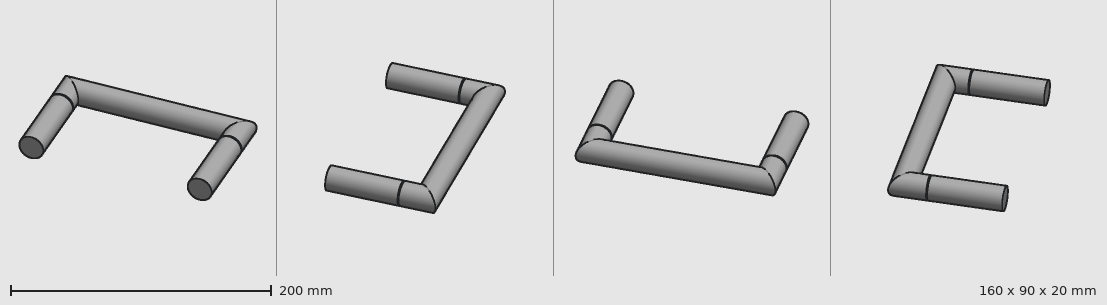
import cadquery as cq

bar_diameter = 20.0
overall_width = 160.0
overall_depth = 90.0
elbow_depth = 30.0
joint_gap = 1.0

bar_radius = bar_diameter / 2
arm_spacing = overall_width - bar_diameter
arm_x_positions = (-arm_spacing / 2, arm_spacing / 2)
leg_length = overall_depth - elbow_depth - joint_gap
leg_front_y = 0.0
leg_back_y = leg_front_y + leg_length
arm_end_y = leg_back_y + joint_gap
crossbar_y = overall_depth - bar_radius


def make_handle():
    """U-shaped round bar with mitred corners and short arms pointing toward -Y."""
    left_x, right_x = arm_x_positions
    path = cq.Workplane("XY").polyline([
        (left_x, arm_end_y),
        (left_x, crossbar_y),
        (right_x, crossbar_y),
        (right_x, arm_end_y),
    ])
    section = cq.Workplane("XZ", origin=(left_x, arm_end_y, 0)).circle(bar_radius)
    return section.sweep(path, transition="right")


def make_leg(x):
    """Straight round leg in line with one arm of the handle."""
    return cq.Workplane("XZ", origin=(x, leg_back_y, 0)).circle(bar_radius).extrude(leg_length)


handle = make_handle()
legs = [make_leg(x) for x in arm_x_positions]

result = cq.Compound.makeCompound([handle.val(), *[leg.val() for leg in legs]])